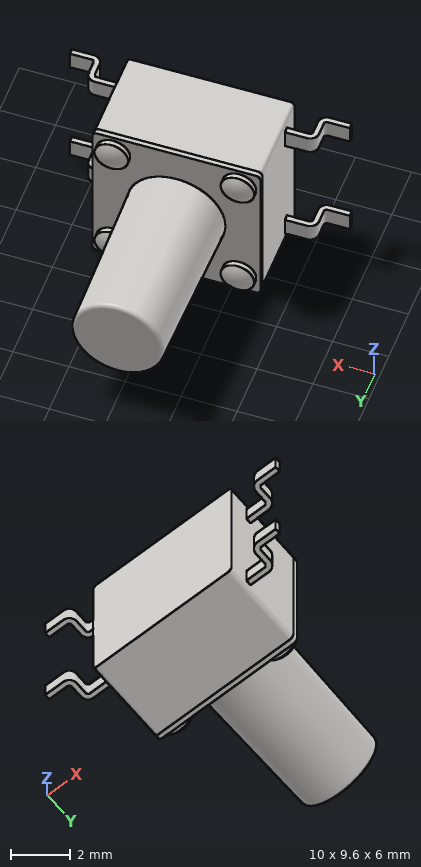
import cadquery as cq
import math


case_side = 6.0
case_corner_radius = 0.18
housing_height = 3.3
cover_thickness = 0.2
cover_top = housing_height + cover_thickness

rivet_pitch = 4.5
rivet_radius = 0.6
rivet_rim_height = 0.2
rivet_dome_height = 0.2

button_length = 6.0
button_base_radius = 1.75
button_draft_degrees = 1.0
button_edge_radius = 0.15

lead_tip_span = 10.0
lead_pitch = 4.5
lead_width = 0.7
lead_thickness = 0.22
lead_inner_radius = 0.1
lead_outer_radius = lead_inner_radius + lead_thickness
lead_rise = 0.9
foot_drop = 0.1
lead_root_x = case_side / 2
lead_tip_x = lead_tip_span / 2
lead_riser_x = (lead_root_x + lead_tip_x) / 2


def plane_at(y):
    """Plane facing +Y at height y, with local x along Z and local y along X."""
    return cq.Workplane(cq.Plane(origin=(0, y, 0), xDir=(0, 0, 1), normal=(0, 1, 0)))


def case_block(bottom_y, height):
    """Square block with its four Y-direction edges rounded."""
    block = plane_at(bottom_y).rect(case_side, case_side).extrude(height)
    return block.edges("|Y").fillet(case_corner_radius)


def make_housing():
    return case_block(0, housing_height)


def rivet_head():
    """Short cylinder with a spherical cap, standing on the cover at the Y axis."""
    rim_top = cover_top + rivet_rim_height
    dome_top = rim_top + rivet_dome_height
    sphere_radius = (rivet_radius**2 + rivet_dome_height**2) / (2 * rivet_dome_height)
    arc_middle_x = rivet_radius / 2
    arc_middle_y = dome_top - sphere_radius + math.sqrt(sphere_radius**2 - arc_middle_x**2)
    profile = (
        cq.Workplane("ZY")
        .moveTo(0, cover_top)
        .lineTo(rivet_radius, cover_top)
        .lineTo(rivet_radius, rim_top)
        .threePointArc((arc_middle_x, arc_middle_y), (0, dome_top))
        .close()
    )
    return profile.revolve(360, (0, 0, 0), (0, 1, 0))


def make_cover():
    """Cover plate with a rivet head near each corner."""
    cover = case_block(housing_height, cover_thickness)
    offset = rivet_pitch / 2
    for x in (-offset, offset):
        for z in (-offset, offset):
            cover = cover.union(rivet_head().translate((x, 0, z)))
    return cover


def make_button():
    """Tapered round button with a rounded top edge."""
    base = plane_at(cover_top).circle(button_base_radius)
    button = base.extrude(button_length, taper=button_draft_degrees)
    return button.faces(">Y").edges().fillet(button_edge_radius)


def make_lead(side, z):
    """Z-bent strip: side is 1 for +X and -1 for -X, z is the middle of its width."""
    half = lead_thickness / 2
    foot_bottom = -foot_drop
    foot_top = foot_bottom + lead_thickness
    root_bottom = foot_bottom + lead_rise
    root_top = root_bottom + lead_thickness
    outline = [
        (lead_root_x, root_bottom),
        (lead_riser_x - half, root_bottom),
        (lead_riser_x - half, foot_bottom),
        (lead_tip_x, foot_bottom),
        (lead_tip_x, foot_top),
        (lead_riser_x + half, foot_top),
        (lead_riser_x + half, root_top),
        (lead_root_x, root_top),
    ]
    strip = cq.Workplane("XY").polyline(outline).close().extrude(lead_width / 2, both=True)
    outer_corners = [outline[2], outline[6]]
    inner_corners = [outline[1], outline[5]]
    for corners, radius in ((outer_corners, lead_outer_radius), (inner_corners, lead_inner_radius)):
        for x, y in corners:
            corner_edge = cq.selectors.NearestToPointSelector((x, y, 0))
            strip = strip.edges("|Z").edges(corner_edge).fillet(radius)
    if side < 0:
        strip = strip.mirror("YZ")
    return strip.translate((0, 0, z))


housing = make_housing()
cover = make_cover()
button = make_button()
leads = [make_lead(side, z) for side in (-1, 1) for z in (-lead_pitch / 2, lead_pitch / 2)]

result = cq.Compound.makeCompound(
    [housing.val(), cover.solids().val(), button.val(), *[lead.val() for lead in leads]]
)